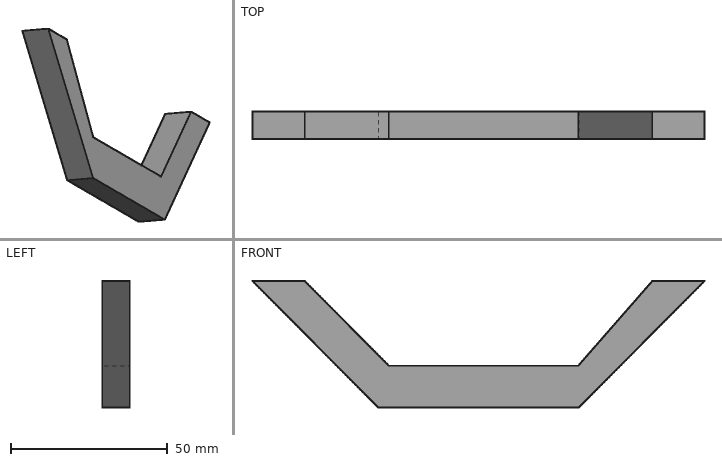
import cadquery as cq

length = 144.24
depth = 8.89
height = 40.37

tip_width = 16.7
web_height = 13.4
outer_run = 40.1
left_inner_run = 26.8
right_inner_run = 23.6

left_tip = -length / 2
right_tip = length / 2

outline = [
    (left_tip, height),
    (left_tip + tip_width, height),
    (left_tip + tip_width + left_inner_run, web_height),
    (right_tip - tip_width - right_inner_run, web_height),
    (right_tip - tip_width, height),
    (right_tip, height),
    (right_tip - outer_run, 0),
    (left_tip + outer_run, 0),
]


def make_bracket():
    """Extrude the open, wide-armed outline symmetrically about Y = 0."""
    return cq.Workplane("XZ").polyline(outline).close().extrude(depth / 2, both=True)


result = make_bracket()